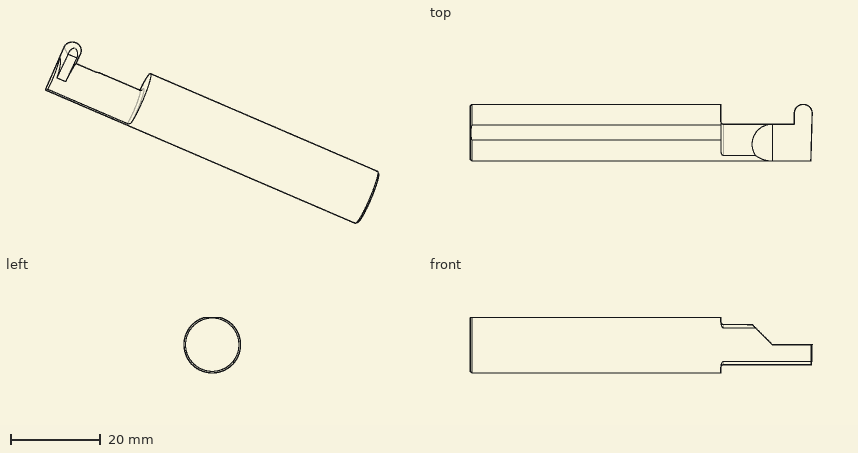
import cadquery as cq
import math

length = 76.2
shank_radius = 6.3
shank_length = 55.85
shank_flat_z = 6.1
end_chamfer = 0.4

neck_radius = 4.5
neck_center_y = -2.6
shoulder_fillet = 0.6
ramp_end_x = 67.3

nose_radius = 2.02
nose_center_x = length - nose_radius
nose_center_y = shank_radius - nose_radius
front_relief = 0.3
hook_relief_angle = 12


def cylinder_x(radius, start, end):
    """Solid cylinder centered on the X axis."""
    return (
        cq.Workplane("YZ", origin=(start, 0, 0))
        .circle(radius)
        .extrude(end - start)
    )


def make_shank():
    """Round bar with a chamfered back end and a flat along its top."""
    shank = cylinder_x(shank_radius, 0, shank_length).faces("<X").chamfer(end_chamfer)
    flat_tool = cq.Workplane("XY", origin=(0, 0, shank_flat_z)).rect(
        2 * length, 4 * shank_radius
    ).extrude(shank_radius)
    return shank.cut(flat_tool)


def make_neck():
    """Offset neck, flared by a fillet at the shoulder and cut down to the axis."""
    flare_radius = neck_radius + shoulder_fillet
    arc_middle = shoulder_fillet * (1 - math.sqrt(0.5))
    neck = (
        cq.Workplane("XY")
        .moveTo(shank_length, 0)
        .lineTo(shank_length, flare_radius)
        .threePointArc(
            (shank_length + arc_middle, neck_radius + arc_middle),
            (shank_length + shoulder_fillet, neck_radius),
        )
        .lineTo(length, neck_radius)
        .lineTo(length, 0)
        .close()
        .revolve(360, (0, 0, 0), (1, 0, 0))
        .translate((0, neck_center_y, 0))
    )
    ramp_tool = (
        cq.Workplane("XZ")
        .moveTo(ramp_end_x, 0)
        .lineTo(length, 0)
        .lineTo(length, shank_radius)
        .lineTo(ramp_end_x - shank_radius, shank_radius)
        .close()
        .extrude(2 * shank_radius, both=True)
    )
    return neck.cut(ramp_tool)


def make_hook():
    """Round-nosed hook reaching sideways from the neck, narrowing below the axis."""
    return (
        cq.Workplane("XY")
        .moveTo(nose_center_x - nose_radius, neck_center_y)
        .lineTo(nose_center_x - nose_radius, nose_center_y)
        .threePointArc((nose_center_x, shank_radius), (length, nose_center_y))
        .lineTo(length, neck_center_y)
        .close()
        .extrude(-neck_radius, taper=hook_relief_angle)
    )


def make_front_relief_tool():
    """Wedge that slopes the front face back, away from the nose."""
    return (
        cq.Workplane("XY")
        .moveTo(length, nose_center_y)
        .lineTo(length - front_relief, -shank_radius)
        .lineTo(length, -shank_radius)
        .close()
        .extrude(shank_radius, both=True)
    )


head = make_neck().union(make_hook()).cut(make_front_relief_tool())
head = head.intersect(cylinder_x(shank_radius, shank_length, length))
result = make_shank().union(head)